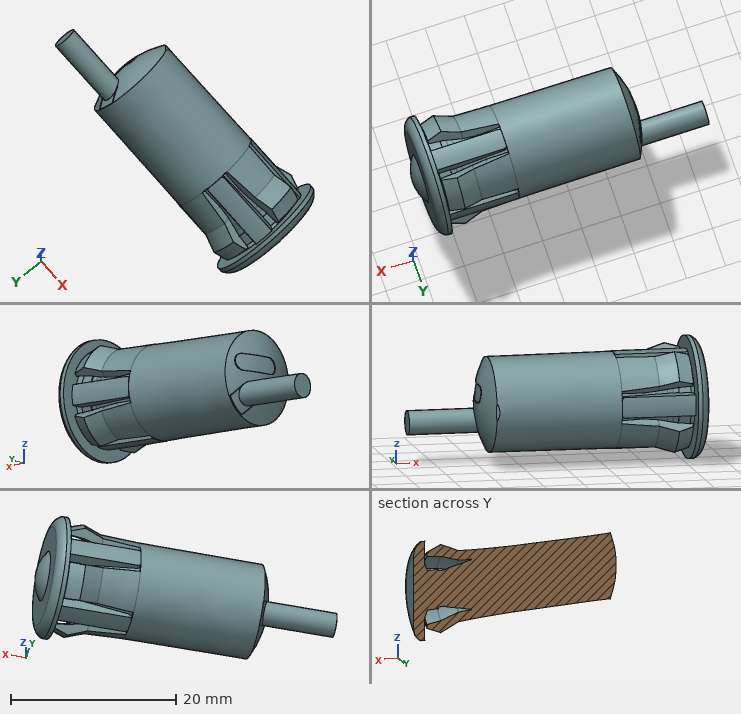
import cadquery as cq
import math

dome_apex_x = 7.95
body_start_x = 9.45
body_end_x = 24.9
clip_bend_x = 29.55
clip_crest_x = 31.9
clip_tip_x = 33.75
flange_back_x = 34.0
flange_rim_x = 34.55
flange_front_x = 35.53
lens_apex_x = 36.6

body_start_radius = 5.8
body_end_radius = 5.9
flange_radius = 7.5
flange_face_radius = 6.07
flange_round_point = (35.27, 6.88)
lens_radius = 3.07

core_root_radius = 5.5
core_radius = 4.75
core_flare_radius = 5.3
core_flare_x = 33.65
groove_depth = 0.1
groove_start_x = 30.77
groove_ramp_x = 31.45
groove_end_x = 32.2

rib_foot_width = 2.78
rib_root_depth = 0.35
rib_foot_height = core_radius - rib_root_depth
rib_top_width = 2.52
rib_radius = 5.93
rib_corner = 0.35

clip_count = 4
clip_root_half_width = 2.52
clip_half_width = 2.2
clip_root_radius = 5.9
clip_bend_radius = 6.07
clip_crest_radius = 6.9
clip_tip_radius = 6.3
clip_root_inner_radius = 5.05
clip_bend_inner_radius = 5.2
clip_crest_inner_radius = 5.7
clip_tip_inner_radius = 5.9

cable_diameter = 2.95
cable_offset = 2.35
cable_angle = -45.0
recess_depth = 0.1
slot_width = 2.12
slot_length = 6.48
slot_center_y = 1.28
slot_center_z = 1.43

edge_flat_depth = 0.1
edge_flat_length = 0.33

full_turn = 360.0


def revolve_about_x(profile):
    """Revolve a closed XY profile (X along the axis, Y as radius) about X."""
    return profile.close().revolve(full_turn, (0, 0, 0), (1, 0, 0))


def spin(solid, angle):
    return solid.rotate((0, 0, 0), (1, 0, 0), angle)


def dome_radius():
    rise = body_start_x - dome_apex_x
    return (body_start_radius**2 + rise**2) / (2 * rise)


def arc_middle(apex_x, sphere_radius, base_radius, direction):
    """Point half way out along a spherical cap that starts at apex_x on the axis."""
    half_angle = math.asin(base_radius / sphere_radius) / 2
    rise = sphere_radius * (1 - math.cos(half_angle))
    return (apex_x + direction * rise, sphere_radius * math.sin(half_angle))


def make_housing():
    lens_rise = lens_apex_x - flange_front_x
    lens_sphere = (lens_radius**2 + lens_rise**2) / (2 * lens_rise)
    groove_radius = core_radius - groove_depth
    return revolve_about_x(
        cq.Workplane("XY")
        .moveTo(dome_apex_x, 0)
        .threePointArc(
            arc_middle(dome_apex_x, dome_radius(), body_start_radius, 1),
            (body_start_x, body_start_radius),
        )
        .lineTo(body_end_x, body_end_radius)
        .lineTo(body_end_x, core_root_radius)
        .lineTo(groove_start_x, core_radius)
        .lineTo(groove_ramp_x, groove_radius)
        .lineTo(groove_end_x, groove_radius)
        .lineTo(groove_end_x, core_radius)
        .lineTo(core_flare_x, core_radius)
        .lineTo(flange_back_x, core_flare_radius)
        .lineTo(flange_back_x, flange_radius)
        .lineTo(flange_rim_x, flange_radius)
        .threePointArc(flange_round_point, (flange_front_x, flange_face_radius))
        .lineTo(flange_front_x, lens_radius)
        .threePointArc(
            arc_middle(lens_apex_x, lens_sphere, lens_radius, -1),
            (lens_apex_x, 0),
        )
    )


def make_rib():
    """Rib on the +Z side: drafted sides, round top, corners rounded at its body end."""
    length = flange_back_x - body_end_x
    section = (
        cq.Workplane("YZ")
        .workplane(offset=body_end_x)
        .moveTo(-rib_foot_width / 2, rib_foot_height)
        .lineTo(-rib_top_width / 2, rib_radius)
        .lineTo(rib_top_width / 2, rib_radius)
        .lineTo(rib_foot_width / 2, rib_foot_height)
        .close()
    )
    bar = section.extrude(length).faces("<X").edges("not |Y").fillet(rib_corner)
    barrel = cq.Workplane("YZ").workplane(offset=body_end_x).circle(rib_radius).extrude(length)
    return bar.intersect(barrel)


def make_clip():
    """Arm on the +Z side: narrows to its bend, flares to a crest, then closes in at its tip."""
    ring = revolve_about_x(
        cq.Workplane("XY")
        .moveTo(body_end_x, clip_root_radius)
        .lineTo(clip_bend_x, clip_bend_radius)
        .lineTo(clip_crest_x, clip_crest_radius)
        .lineTo(clip_tip_x, clip_tip_radius)
        .lineTo(clip_tip_x, clip_tip_inner_radius)
        .lineTo(clip_crest_x, clip_crest_inner_radius)
        .lineTo(clip_bend_x, clip_bend_inner_radius)
        .lineTo(body_end_x, clip_root_inner_radius)
    )
    outline = (
        cq.Workplane("XY")
        .moveTo(body_end_x, -clip_root_half_width)
        .lineTo(clip_bend_x, -clip_half_width)
        .lineTo(clip_tip_x, -clip_half_width)
        .lineTo(clip_tip_x, clip_half_width)
        .lineTo(clip_bend_x, clip_half_width)
        .lineTo(body_end_x, clip_root_half_width)
        .close()
        .extrude(flange_radius)
    )
    return ring.intersect(outline)


def make_dome_recesses():
    """Slot and cable channel, both sunk to the same depth below the domed end."""
    slot = (
        cq.Workplane("YZ")
        .center(slot_center_y, slot_center_z)
        .slot2D(slot_length, slot_width)
        .extrude(body_start_x)
    )
    channel_start = cq.Workplane("YZ").center(math.hypot(cable_offset, cable_offset), 0)
    channel_end = channel_start.circle(cable_diameter / 2).extrude(body_start_x)
    channel_run = channel_start.rect(
        flange_radius, cable_diameter, centered=(False, True)
    ).extrude(body_start_x)
    channel = spin(channel_end.union(channel_run), cable_angle)
    floor_center_x = dome_apex_x + recess_depth + dome_radius()
    floor_sphere = cq.Workplane("XY").sphere(dome_radius()).translate((floor_center_x, 0, 0))
    return slot.union(channel).cut(floor_sphere)


def make_edge_flat():
    """Wedge that trims the -Y edge of the dome down to a sloped flat."""
    flat_end_x = body_start_x + edge_flat_length
    slope = edge_flat_depth / edge_flat_length
    return (
        cq.Workplane("XY")
        .moveTo(flat_end_x, -body_start_radius)
        .lineTo(dome_apex_x, -body_start_radius + slope * (flat_end_x - dome_apex_x))
        .lineTo(dome_apex_x, -flange_radius)
        .lineTo(flat_end_x, -flange_radius)
        .close()
        .extrude(body_start_radius, both=True)
    )


def make_cable():
    return (
        cq.Workplane("YZ")
        .center(cable_offset, -cable_offset)
        .circle(cable_diameter / 2)
        .extrude(body_start_x)
    )


result = make_housing().cut(make_dome_recesses()).cut(make_edge_flat())
spacing = full_turn / clip_count
for index in range(clip_count):
    result = result.union(spin(make_rib(), index * spacing))
    result = result.union(spin(make_clip(), (index + 0.5) * spacing))
result = result.union(make_cable())